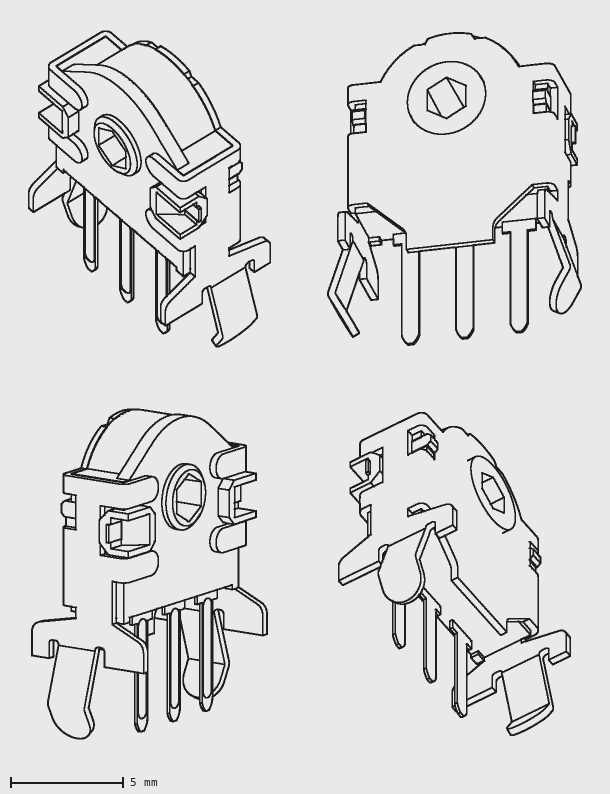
import cadquery as cq
import math


housing_half_width = 4.41
housing_depth = 2.88
housing_top = 1.5
housing_bottom = -4.8
dome_radius = 3.54
gable_radius = 3.61
gable_depth = 0.68
gable_half_width = 3.99
foot_width = 0.48
foot_depth = 0.4
foot_drop = 0.21

sheet = 0.34
cover_half_width = housing_half_width + sheet
cover_back = housing_depth + sheet
cover_top = 1.47
cover_dome_radius = 3.5
leg_bottom = -7.02

hex_front_corners = 2.2
hex_back_corners = 2.05
boss_diameter = 2.96
boss_height = 0.44
boss_chamfer = 0.21
hub_diameter = 3.6
hub_length = 0.58
hub_flare = 0.18

pin_pitch = 2.5
pin_width = 0.79
pin_tip = -10.32
terminal_front = 0.34
terminal_thickness = 0.14


def box(x0, x1, y0, y1, z0, z1):
    """Box between two opposite corners."""
    return cq.Workplane("XY").box(x1 - x0, y1 - y0, z1 - z0, centered=False).translate((x0, y0, z0))


def front_profile(y):
    """Sketch plane at depth y with local axes X and Z."""
    return cq.Workplane(cq.Plane(origin=(0, y, 0), xDir=(1, 0, 0), normal=(0, -1, 0)))


def extrude_back(sketch, depth):
    """Extrude a front profile toward +Y."""
    return sketch.extrude(-depth)


def both_sides(left):
    """Left-hand feature together with its mirror image across the YZ plane."""
    return left.union(left.mirror("YZ"))


def make_gable():
    """Front wall top: an arc with tangent straight flanks down to the housing top."""
    end_distance = math.hypot(gable_half_width, housing_top)
    tangent_angle = math.atan2(housing_top, gable_half_width) + math.acos(gable_radius / end_distance)
    tangent_x = gable_radius * math.cos(tangent_angle)
    tangent_z = gable_radius * math.sin(tangent_angle)
    sketch = (
        front_profile(0)
        .moveTo(-gable_half_width, 0)
        .lineTo(-gable_half_width, housing_top)
        .lineTo(-tangent_x, tangent_z)
        .threePointArc((0, gable_radius), (tangent_x, tangent_z))
        .lineTo(gable_half_width, housing_top)
        .lineTo(gable_half_width, 0)
        .close()
    )
    return extrude_back(sketch, gable_depth)


def make_housing():
    """Block with a round dome behind the gable and two small feet at the front."""
    block = box(-housing_half_width, housing_half_width, 0, housing_depth, housing_bottom, housing_top)
    dome = extrude_back(front_profile(0).circle(dome_radius), housing_depth)
    dome = dome.intersect(box(-dome_radius, dome_radius, gable_depth, housing_depth, 0, dome_radius))
    foot = box(
        -housing_half_width, -housing_half_width + foot_width,
        0, foot_depth,
        housing_bottom - foot_drop, housing_bottom,
    )
    return block.union(dome).union(make_gable()).union(both_sides(foot))


window_front = 2.38
window_inner_x = 3.85
window_top = 0.63
window_bottom = -0.95
nose_top = 0.21
nose_bottom = -0.52
nose_tip = 3.38
nose_chamfer = 0.17
nose_outer_x = 4.44
filler_back = 3.16
lug_window_back = 1.03
upper_tab_bottom = 0.34
lower_tab_top = -1.93
lower_tab_bottom = -3.05
tab_length = 2.54
corner_end = -4.5


def make_cover_shell():
    """U-shaped cover with rounded corners and a front lip on each side."""
    shell = box(-cover_half_width, cover_half_width, -sheet, cover_back, lower_tab_bottom, cover_top)
    shell = shell.edges("|Z").fillet(sheet)
    lower = box(-cover_half_width, cover_half_width, -sheet, cover_back, corner_end, lower_tab_bottom)
    lower = lower.edges("|Z and >Y").fillet(sheet)
    lower = lower.cut(
        box(-cover_half_width, cover_half_width, -sheet, foot_depth, corner_end, lower_tab_bottom)
    )
    shell = shell.union(lower)
    shell = shell.cut(
        box(-housing_half_width, housing_half_width, 0, housing_depth, corner_end, cover_top)
    )

    front_opening = box(-cover_half_width, cover_half_width, -sheet, 0, lower_tab_bottom, cover_top)
    for top, bottom in ((cover_top, upper_tab_bottom), (lower_tab_top, lower_tab_bottom)):
        radius = (top - bottom) / 2
        middle = (top + bottom) / 2
        arc_centre = cover_half_width - tab_length + radius
        tab = box(-cover_half_width, -arc_centre, -sheet, 0, bottom, top)
        tab_end = extrude_back(front_profile(-sheet).center(-arc_centre, middle).circle(radius), sheet)
        front_opening = front_opening.cut(both_sides(tab.union(tab_end)))
    shell = shell.cut(front_opening)

    lug_window = box(
        -cover_half_width, -housing_half_width, -sheet, lug_window_back, lower_tab_top, upper_tab_bottom
    )
    nose_window = box(
        -cover_half_width, -window_inner_x, window_front, cover_back, window_bottom, window_top
    )
    return shell.cut(both_sides(lug_window)).cut(both_sides(nose_window))


notch_outer_x = 1.64
notch_floor_x = 1.14
notch_inner_x = 1.0
tongue_half_width = 1.99
tongue_shoulder_x = 3.79
tongue_slope_end = (2.16, -5.98)
tongue_arc_middle = (2.03, -6.18)
tongue_arc_end_z = -6.42


def make_cover_back():
    """Back wall extensions: notched dome on top and tapering tongue below."""
    dome = extrude_back(front_profile(housing_depth).circle(cover_dome_radius), sheet)
    dome = dome.intersect(
        box(-cover_dome_radius, cover_dome_radius, housing_depth, cover_back, 0, cover_dome_radius)
    )
    notch_floor = math.sqrt(cover_dome_radius**2 - notch_outer_x**2)
    notch_rim = math.sqrt(cover_dome_radius**2 - notch_inner_x**2)
    notch = extrude_back(
        front_profile(housing_depth).polyline([
            (-notch_outer_x, notch_floor),
            (-notch_floor_x, notch_floor),
            (-notch_inner_x, notch_rim),
            (-notch_outer_x, notch_rim),
        ]).close(),
        sheet,
    )
    slope_x, slope_z = tongue_slope_end
    middle_x, middle_z = tongue_arc_middle
    tongue = extrude_back(
        front_profile(housing_depth)
        .moveTo(-tongue_shoulder_x, corner_end)
        .lineTo(-slope_x, slope_z)
        .threePointArc((-middle_x, middle_z), (-tongue_half_width, tongue_arc_end_z))
        .lineTo(-tongue_half_width, leg_bottom)
        .lineTo(tongue_half_width, leg_bottom)
        .lineTo(tongue_half_width, tongue_arc_end_z)
        .threePointArc((middle_x, middle_z), (slope_x, slope_z))
        .lineTo(tongue_shoulder_x, corner_end)
        .close(),
        sheet,
    )
    return dome.cut(both_sides(notch)).union(tongue)


def make_nose():
    """Chamfered housing catch that fills the upper part of the corner window."""
    return (
        cq.Workplane("YZ", origin=(-nose_outer_x, 0, 0))
        .polyline([
            (window_front, nose_bottom),
            (cover_back, nose_bottom),
            (nose_tip, nose_bottom + nose_chamfer),
            (nose_tip, nose_top - nose_chamfer),
            (cover_back, nose_top),
            (window_front, nose_top),
        ])
        .close()
        .extrude(nose_outer_x - window_inner_x)
    )


def make_window_filler():
    """Housing block below the nose that reaches through the cover's back wall."""
    return box(
        -housing_half_width, -window_inner_x,
        window_front, filler_back,
        window_bottom, nose_bottom,
    )


spring_front = 1.33
spring_back = 3.33
spring_thickness = 0.34
outward_angle = math.radians(18.5)
inward_angle = math.radians(28.5)
knee_x = 5.57
knee_z = -8.85
spring_end_z = -10.49
spring_tip_radius = 0.99
upper_knee_x = knee_x - spring_thickness * (1 - math.cos(outward_angle))
upper_knee_z = knee_z + spring_thickness * math.sin(outward_angle)
lower_knee_x = knee_x - spring_thickness * (1 - math.cos(inward_angle))
lower_knee_z = knee_z - spring_thickness * math.sin(inward_angle)
spring_bend_z = upper_knee_z + (upper_knee_x - cover_half_width) / math.tan(outward_angle)


def make_spring():
    """Bent strip of sheet metal, rounded outside the knee and at its free end."""
    end_x = lower_knee_x - (lower_knee_z - spring_end_z) * math.tan(inward_angle)
    inner_end_x = end_x - spring_thickness * math.cos(inward_angle)
    inner_end_z = spring_end_z + spring_thickness * math.sin(inward_angle)
    strip = (
        front_profile(spring_front)
        .moveTo(-cover_half_width, spring_bend_z)
        .lineTo(-upper_knee_x, upper_knee_z)
        .threePointArc((-knee_x, knee_z), (-lower_knee_x, lower_knee_z))
        .lineTo(-end_x, spring_end_z)
        .lineTo(-inner_end_x, inner_end_z)
        .lineTo(-knee_x + spring_thickness, knee_z)
        .lineTo(-housing_half_width, spring_bend_z)
        .close()
    )
    across_sheet = cq.Vector(math.cos(inward_angle), 0, math.sin(inward_angle))
    strip = extrude_back(strip, spring_back - spring_front)
    return strip.edges(cq.selectors.ParallelDirSelector(across_sheet)).fillet(spring_tip_radius)


leg_front = -1.33
leg_back = 4.78
shoulder_z = -5.0
front_shoulder_z = -5.75
back_shoulder_z = -5.51
shoulder_radius = 0.51
slot_width = 0.51
slot_top = -6.16
slot_radius = 0.17


def make_side_leg():
    """Lower side plate: two feet, separated from the spring leg by round-topped slots."""
    plate = (
        cq.Workplane("YZ", origin=(-cover_half_width, 0, 0))
        .polyline([
            (foot_depth, corner_end),
            (foot_depth, shoulder_z),
            (leg_front, front_shoulder_z),
            (leg_front, leg_bottom),
            (leg_back, leg_bottom),
            (leg_back, back_shoulder_z),
            (window_front, shoulder_z),
            (window_front, corner_end),
        ])
        .close()
        .extrude(sheet)
    )
    sheet_middle_x = -(cover_half_width + housing_half_width) / 2
    front_corner = cq.selectors.NearestToPointSelector((sheet_middle_x, leg_front, front_shoulder_z))
    back_corner = cq.selectors.NearestToPointSelector((sheet_middle_x, leg_back, back_shoulder_z))
    plate = plate.edges(front_corner + back_corner).fillet(shoulder_radius)
    for slot_front in (spring_front - slot_width, spring_back):
        slot = box(
            -cover_half_width, -housing_half_width,
            slot_front, slot_front + slot_width,
            leg_bottom, slot_top,
        )
        plate = plate.cut(slot.edges("|X and >Z").fillet(slot_radius))
    spring_gap = box(
        -cover_half_width, -housing_half_width, spring_front, spring_back, leg_bottom, spring_bend_z
    )
    return plate.cut(spring_gap)


lug_inner_x = 2.85
lug_outer_x = 4.9
lug_front = -0.6
lug_back = 0.99
lug_top = 0.21
lug_bottom = -1.8
lug_front_chamfer = 0.38
lug_side_chamfer = 0.5
pocket_inner_x = 3.26
pocket_floor_x = 4.1
pocket_top = -0.1
pocket_bottom = -1.51
pocket_floor_y = 0.35
blade_outer_x = 5.08
blade_top = -0.4
blade_bottom = -1.21


def make_lug():
    """Lug wrapped around the front corner, with chamfered inner ends."""
    block = box(-lug_outer_x, -lug_inner_x, lug_front, lug_back, lug_bottom, lug_top)
    front_chamfered = block.edges("|Y and >X").chamfer(lug_front_chamfer)
    side_chamfered = block.edges("|X and >Y").chamfer(lug_side_chamfer)
    return front_chamfered.intersect(side_chamfered)


def make_lug_pocket():
    """Pocket open to the front and the outside, with a sloping inner wall."""
    return (
        cq.Workplane("XY", origin=(0, 0, pocket_bottom))
        .polyline([
            (-pocket_inner_x, lug_front),
            (-pocket_floor_x, pocket_floor_y),
            (-lug_outer_x, pocket_floor_y),
            (-lug_outer_x, lug_front),
        ])
        .close()
        .extrude(pocket_top - pocket_bottom)
    )


def make_blade():
    """End of the contact strip that sticks out sideways from the lug."""
    return box(
        -blade_outer_x, -pocket_floor_x,
        terminal_front, terminal_front + terminal_thickness,
        blade_bottom, blade_top,
    )


pin_head_width = 1.54
pin_head_bottom = -5.32
tip_start = -9.9
tip_half_width = 0.13
tip_bulge_x = 0.28
tip_bulge_z = -10.14
rib_half_width = 0.31
rib_height = 0.14
rib_top = -5.48
rib_bottom = -9.42


def make_pin(x):
    """Flat pin with a wide head, a rounded tip and a raised round rib on its front."""
    half = pin_width / 2
    strip = extrude_back(
        front_profile(terminal_front)
        .moveTo(-half, housing_bottom)
        .lineTo(-half, tip_start)
        .threePointArc((-tip_bulge_x, tip_bulge_z), (-tip_half_width, pin_tip))
        .lineTo(tip_half_width, pin_tip)
        .threePointArc((tip_bulge_x, tip_bulge_z), (half, tip_start))
        .lineTo(half, housing_bottom)
        .close(),
        terminal_thickness,
    )
    head = box(
        -pin_head_width / 2, pin_head_width / 2,
        terminal_front, terminal_front + terminal_thickness,
        pin_head_bottom, housing_bottom,
    )
    rib_radius = (rib_half_width**2 + rib_height**2) / (2 * rib_height)
    rib_axis_y = terminal_front - rib_height + rib_radius
    rib = cq.Workplane("XY", origin=(0, rib_axis_y, rib_bottom)).circle(rib_radius)
    rib = rib.extrude(rib_top - rib_bottom)
    for end_z in (rib_bottom, rib_top):
        rib = rib.union(cq.Workplane("XY").sphere(rib_radius).translate((0, rib_axis_y, end_z)))
    rib = rib.intersect(
        box(
            -rib_half_width, rib_half_width,
            terminal_front - rib_height, terminal_front + terminal_thickness / 2,
            pin_tip, housing_bottom,
        )
    )
    return strip.union(head).union(rib).translate((x, 0, 0))


def make_hub():
    """Front boss with a chamfered rim and rear hub with a flared base, revolved about Y."""
    boss_radius = boss_diameter / 2
    hub_radius = hub_diameter / 2
    flare_offset = hub_flare * (1 - math.sqrt(0.5))
    return (
        cq.Workplane("XY")
        .moveTo(0, -boss_height)
        .lineTo(boss_radius - boss_chamfer, -boss_height)
        .lineTo(boss_radius, -boss_height + boss_chamfer)
        .lineTo(boss_radius, housing_depth)
        .lineTo(hub_radius + hub_flare, housing_depth)
        .lineTo(hub_radius + hub_flare, cover_back)
        .threePointArc(
            (hub_radius + flare_offset, cover_back + flare_offset),
            (hub_radius, cover_back + hub_flare),
        )
        .lineTo(hub_radius, cover_back + hub_length)
        .lineTo(0, cover_back + hub_length)
        .close()
        .revolve(360, (0, 0, 0), (0, 1, 0))
    )


def make_hex_bore():
    """Slightly tapered hexagonal bore with corners at top and bottom."""
    bore_length = boss_height + cover_back + hub_length

    def corners(diameter):
        angles = [math.radians(30 + 60 * i) for i in range(6)]
        return [(diameter / 2 * math.cos(a), diameter / 2 * math.sin(a)) for a in angles]

    return (
        front_profile(-boss_height)
        .polyline(corners(hex_front_corners))
        .close()
        .workplane(offset=-bore_length)
        .polyline(corners(hex_back_corners))
        .close()
        .loft(ruled=True)
    )


result = make_housing().union(make_cover_shell()).union(make_cover_back())
for left_feature in (make_nose(), make_window_filler(), make_side_leg(), make_spring(), make_lug()):
    result = result.union(both_sides(left_feature))
result = result.cut(both_sides(make_lug_pocket())).union(both_sides(make_blade()))
for pin_index in (-1, 0, 1):
    result = result.union(make_pin(pin_index * pin_pitch))
result = result.union(make_hub()).cut(make_hex_bore())